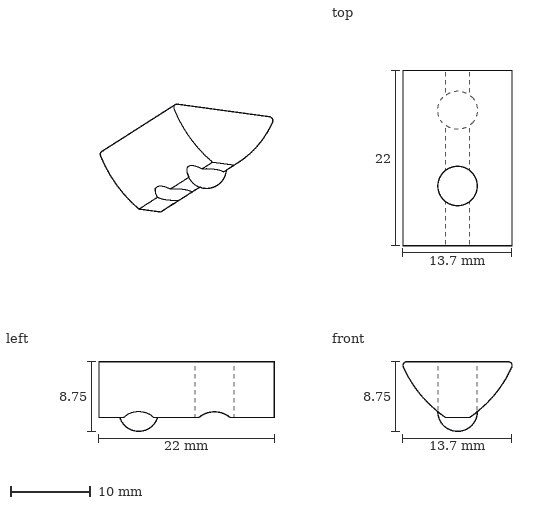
import math

import cadquery as cq

length = 22.0
width = 13.7
body_height = 7.0
bottom_flat_width = 3.0
edge_radius = 0.5
flank_radius = 15.0

hole_diameter = 4.917
hole_from_front_end = 7.5

ball_diameter = 5.0
ball_from_back_end = 5.0
overall_height = 8.75


def flank_center(edge_center, bottom_corner):
    """Center of the flank arc: tangent to the edge rounding, through the bottom corner."""
    edge_x, edge_z = edge_center
    step_x = bottom_corner[0] - edge_x
    step_z = bottom_corner[1] - edge_z
    span = math.hypot(step_x, step_z)
    reach_to_edge = flank_radius - edge_radius
    along = (reach_to_edge**2 - flank_radius**2 + span**2) / (2 * span)
    across = math.sqrt(reach_to_edge**2 - along**2)
    center_x = edge_x + (along * step_x + across * step_z) / span
    center_z = edge_z + (along * step_z - across * step_x) / span
    return center_x, center_z


def make_body():
    """Symmetric section with two curved flanks, extruded along Y."""
    edge_center_x = width / 2 - edge_radius
    edge_center_z = -edge_radius
    bottom_corner = (bottom_flat_width / 2, -body_height)
    center_x, center_z = flank_center((edge_center_x, edge_center_z), bottom_corner)

    tangent_angle = math.atan2(edge_center_z - center_z, edge_center_x - center_x)
    tangent_x = edge_center_x + edge_radius * math.cos(tangent_angle)
    tangent_z = edge_center_z + edge_radius * math.sin(tangent_angle)

    return (
        cq.Workplane("XZ")
        .moveTo(-edge_center_x, 0)
        .lineTo(edge_center_x, 0)
        .threePointArc((width / 2, edge_center_z), (tangent_x, tangent_z))
        .radiusArc(bottom_corner, flank_radius)
        .lineTo(-bottom_corner[0], bottom_corner[1])
        .radiusArc((-tangent_x, tangent_z), flank_radius)
        .threePointArc((-width / 2, edge_center_z), (-edge_center_x, 0))
        .close()
        .extrude(length / 2, both=True)
    )


def make_hole():
    """Cylinder removed through the full height of the body."""
    hole_y = -length / 2 + hole_from_front_end
    return cq.Workplane("XY").center(0, hole_y).circle(hole_diameter / 2).extrude(-body_height)


def make_ball():
    """Sphere whose lowest point sets the overall height."""
    ball_y = length / 2 - ball_from_back_end
    ball_z = -overall_height + ball_diameter / 2
    return cq.Workplane("XY").sphere(ball_diameter / 2).translate((0, ball_y, ball_z))


result = make_body().cut(make_hole()).union(make_ball())